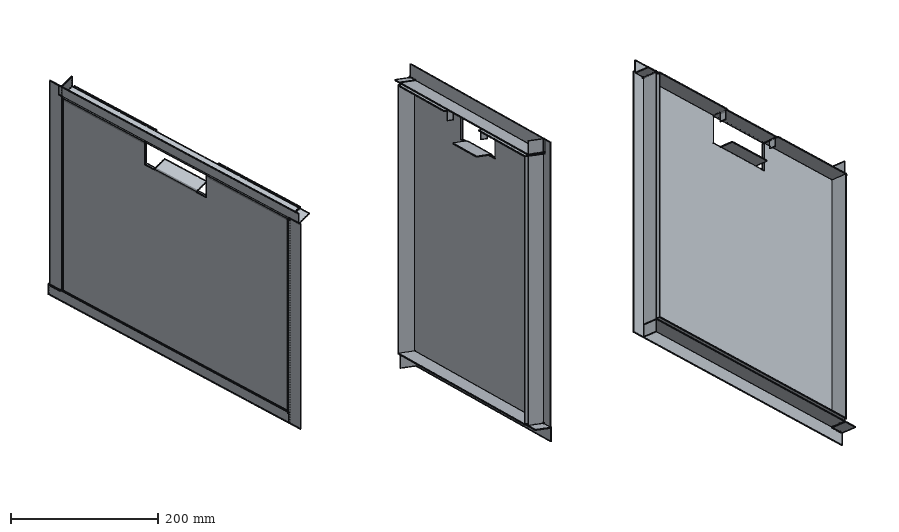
import cadquery as cq
SHEET = 1.5
BEND_RADIUS = 2.0

OPENING = 383.0
EDGE = OPENING / 2

ANGLE_LENGTH = 405.5
FLANGE_WIDTH = 20.5
LEG_DEPTH = 24.7
SLOT_WIDTH = 2.35
LAPS = (0, 2.0, 5.33, 2.0)

CLEARANCE = 0.65
PANEL_DEPTH = 29.0
PANEL_EDGE = EDGE - CLEARANCE
INNER_EDGE = PANEL_EDGE - SHEET

BOARD_THICKNESS = 2.75

HOLE_LEFT = -51.5
HOLE_RIGHT = 52.5
HOLE_BOTTOM = 146.5

TAB_LEFT = -35.0
TAB_RIGHT = 36.2
TAB_END = 24.0

LUG_FRONT = 15.5
LUG_BACK = 25.0
LUG_BOTTOM = 176.5


def box(x_range, y_range, z_range):
    """Box between two corner values on each axis."""
    sizes = [high - low for low, high in (x_range, y_range, z_range)]
    corner = (x_range[0], y_range[0], z_range[0])
    return cq.Workplane("XY").box(*sizes, centered=False).translate(corner)


def edge_angle(lap):
    """Angle below the opening: flange down, leg back, lapping end toward +X."""
    lap_end = EDGE + lap
    span = (lap_end - ANGLE_LENGTH, lap_end)
    flange = box(span, (0, SHEET), (-EDGE - FLANGE_WIDTH, -EDGE))
    leg = box(span, (0, LEG_DEPTH), (-EDGE - SHEET, -EDGE))
    slot = box((EDGE - SHEET, lap_end), (0, SHEET), (-EDGE - SLOT_WIDTH, -EDGE))
    return flange.union(leg).cut(slot)


def edge_angles():
    """Four angles chasing each other round the opening, each recessed for the end of the one before."""
    blanks = []
    for turn, lap in enumerate(LAPS):
        blanks.append(edge_angle(lap).rotate((0, 0, 0), (0, 1, 0), -90 * turn))
    angles = []
    for turn, blank in enumerate(blanks):
        lapping_angle = blanks[turn - 1]
        angles.append(blank.cut(lapping_angle))
    return angles


def tray():
    """Open-backed tray with rounded front edges."""
    outside = box((-PANEL_EDGE, PANEL_EDGE), (0, PANEL_DEPTH), (-PANEL_EDGE, PANEL_EDGE))
    inside = box((-INNER_EDGE, INNER_EDGE), (SHEET, PANEL_DEPTH), (-INNER_EDGE, INNER_EDGE))
    return outside.faces("<Y").edges().fillet(BEND_RADIUS).cut(inside)


def hand_hole():
    """Cutter for the hand hole, through the face and the top wall."""
    return box((HOLE_LEFT, HOLE_RIGHT), (0, PANEL_DEPTH), (HOLE_BOTTOM, PANEL_EDGE))


def hand_hole_tab():
    """Plate that curves back from the lower edge of the hand hole."""
    top = HOLE_BOTTOM + BEND_RADIUS
    inner_radius = BEND_RADIUS - SHEET
    return (
        cq.Workplane("YZ", origin=(TAB_LEFT, 0, 0))
        .moveTo(0, HOLE_BOTTOM)
        .radiusArc((BEND_RADIUS, top), BEND_RADIUS)
        .lineTo(TAB_END, top)
        .lineTo(TAB_END, top - SHEET)
        .lineTo(BEND_RADIUS, top - SHEET)
        .radiusArc((SHEET, HOLE_BOTTOM), -inner_radius)
        .close()
        .extrude(TAB_RIGHT - TAB_LEFT)
    )


def lug(hole_side, inward):
    """Lug that curves down from the top wall; inward is +1 or -1 along X."""
    face = hole_side + inward * BEND_RADIUS
    back = face - inward * SHEET
    inner_radius = BEND_RADIUS - SHEET
    return (
        cq.Workplane("XZ", origin=(0, LUG_FRONT, 0))
        .moveTo(hole_side, PANEL_EDGE)
        .radiusArc((face, PANEL_EDGE - BEND_RADIUS), inward * BEND_RADIUS)
        .lineTo(face, LUG_BOTTOM)
        .lineTo(back, LUG_BOTTOM)
        .lineTo(back, PANEL_EDGE - BEND_RADIUS)
        .radiusArc((hole_side, PANEL_EDGE - SHEET), -inward * inner_radius)
        .close()
        .extrude(LUG_FRONT - LUG_BACK)
    )


def front_panel():
    """Tray with the hand hole, its bent tab and its two lugs."""
    holed_tray = tray().cut(hand_hole()).union(hand_hole_tab())
    return holed_tray.union(lug(HOLE_LEFT, 1)).union(lug(HOLE_RIGHT, -1))


def backing_board():
    """Board that fills the tray behind its face, with the same hand hole."""
    depth = (SHEET, SHEET + BOARD_THICKNESS)
    board = box((-INNER_EDGE, INNER_EDGE), depth, (-INNER_EDGE, INNER_EDGE))
    return board.cut(hand_hole())


panel = front_panel()
board = backing_board()
angles = edge_angles()
result = cq.Compound.makeCompound([panel.val(), board.val(), *[angle.val() for angle in angles]])